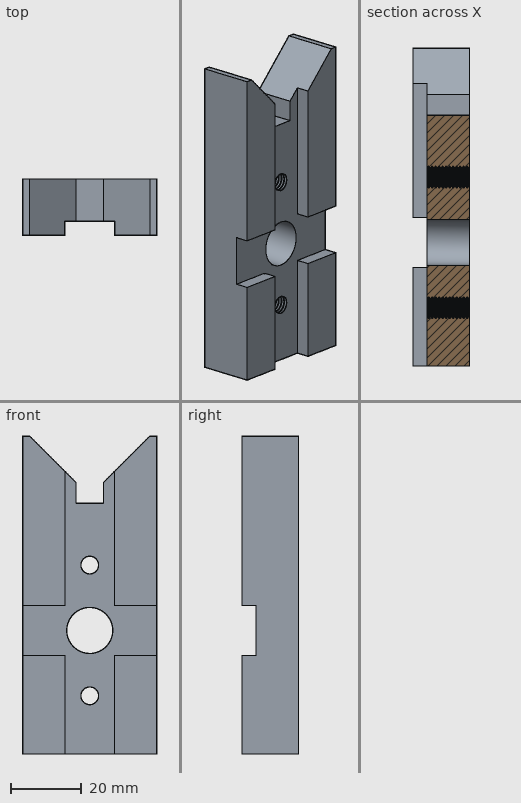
import cadquery as cq

width = 38.0
depth = 16.0
height = 90.0

channel_width = 14.0
channel_depth = 4.0
cross_height = 35.0

land_width = 2.0
slot_width = 7.7
slot_depth = 19.0

bore_diameter = 13.0

tap_diameter = 4.95
tap_spacing = 37.0
thread_pitch = 1.0
thread_depth = 0.5

half_slot = slot_width / 2
half_notch = width / 2 - land_width
flank_drop = half_notch - half_slot
front = -depth / 2
channel_floor = front + channel_depth
web_thickness = depth - channel_depth


def block():
    return cq.Workplane("XY").box(width, depth, height, centered=(True, True, False))


def notch():
    """V notch and relief slot, open at the top and running through the depth."""
    outline = [
        (-half_notch, height),
        (-half_slot, height - flank_drop),
        (-half_slot, height - slot_depth),
        (half_slot, height - slot_depth),
        (half_slot, height - flank_drop),
        (half_notch, height),
    ]
    return cq.Workplane("XZ", origin=(0, depth / 2, 0)).polyline(outline).close().extrude(depth)


def channel(size_x, size_z, middle_z):
    """Straight channel sunk into the front face."""
    middle = (0, front + channel_depth / 2, middle_z)
    return cq.Workplane("XY").box(size_x, channel_depth, size_z).translate(middle)


def bore():
    return cq.Workplane("XZ", origin=(0, depth / 2, cross_height)).circle(bore_diameter / 2).extrude(depth)


def tapped_hole(z):
    """Through hole whose thread is a stack of separate V grooves."""
    crest_radius = tap_diameter / 2
    root_radius = crest_radius + thread_depth
    half_mouth = thread_pitch * 3 / 8
    half_root = thread_pitch / 16

    profile = [(0, channel_floor), (crest_radius, channel_floor)]
    for turn in range(int(web_thickness / thread_pitch)):
        groove = channel_floor + (turn + 0.5) * thread_pitch
        profile += [
            (crest_radius, groove - half_mouth),
            (root_radius, groove - half_root),
            (root_radius, groove + half_root),
            (crest_radius, groove + half_mouth),
        ]
    profile += [(crest_radius, depth / 2), (0, depth / 2)]

    sketch = cq.Workplane("XY").polyline(profile).close()
    return sketch.revolve(360, (0, 0, 0), (0, 1, 0)).translate((0, 0, z))


result = block().cut(notch())
result = result.cut(channel(channel_width, height, height / 2))
result = result.cut(channel(width, channel_width, cross_height))
result = result.cut(bore())
for side in (-1, 1):
    result = result.cut(tapped_hole(cross_height + side * tap_spacing / 2))